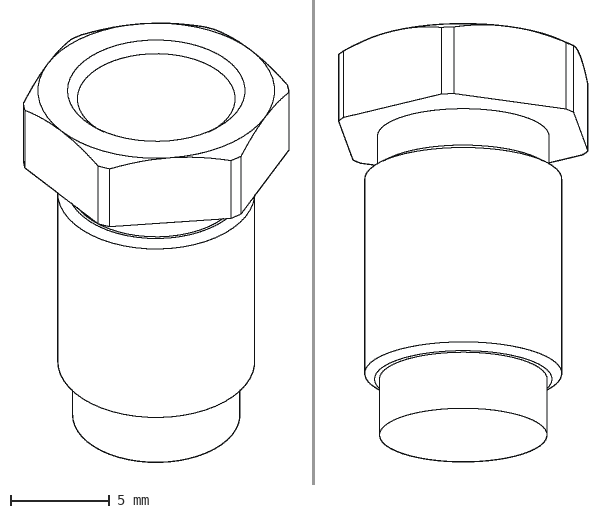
import cadquery as cq
import math

total_length = 20.0
tip_length = 3.0
neck_length = 2.0
head_height = 4.0
head_bottom = total_length - head_height
body_top = head_bottom - neck_length

tip_diameter = 8.5
body_diameter = 10.0
neck_diameter = 8.7

body_chamfer_width = 0.5
body_chamfer_height = 0.3

across_flats = 12.0
across_rounded_corners = 13.5
head_chamfer_angle = 30.0

recess_top_diameter = 9.0
recess_floor_diameter = 8.0
recess_depth = 0.5


def make_shank():
    """Tip, chamfered body and neck as one revolved profile."""
    tip_radius = tip_diameter / 2
    body_radius = body_diameter / 2
    neck_radius = neck_diameter / 2
    profile = [
        (0, 0),
        (tip_radius, 0),
        (tip_radius, tip_length),
        (body_radius - body_chamfer_width, tip_length),
        (body_radius, tip_length + body_chamfer_height),
        (body_radius, body_top - body_chamfer_height),
        (body_radius - body_chamfer_width, body_top),
        (neck_radius, body_top),
        (neck_radius, head_bottom),
        (0, head_bottom),
    ]
    return cq.Workplane("XZ").polyline(profile).close().revolve(360, (0, 0), (0, 1))


def make_head():
    """Hexagon, flats facing +Y and -Y, trimmed by a cylinder with a conical top."""
    sides = 6
    across_sharp_corners = across_flats / math.cos(math.pi / sides)
    hexagon = (
        cq.Workplane("XY")
        .workplane(offset=head_bottom)
        .polygon(sides, across_sharp_corners)
        .extrude(head_height)
    )
    corner_radius = across_rounded_corners / 2
    flat_radius = across_flats / 2
    chamfer_drop = (corner_radius - flat_radius) * math.tan(math.radians(head_chamfer_angle))
    envelope_profile = [
        (0, head_bottom),
        (corner_radius, head_bottom),
        (corner_radius, total_length - chamfer_drop),
        (flat_radius, total_length),
        (0, total_length),
    ]
    envelope = cq.Workplane("XZ").polyline(envelope_profile).close().revolve(360, (0, 0), (0, 1))
    return hexagon.intersect(envelope)


def make_recess():
    """Conical cutter, widest at the top face of the head."""
    return (
        cq.Workplane("XY")
        .workplane(offset=total_length - recess_depth)
        .circle(recess_floor_diameter / 2)
        .workplane(offset=recess_depth)
        .circle(recess_top_diameter / 2)
        .loft(ruled=True)
    )


result = make_shank().union(make_head()).cut(make_recess())